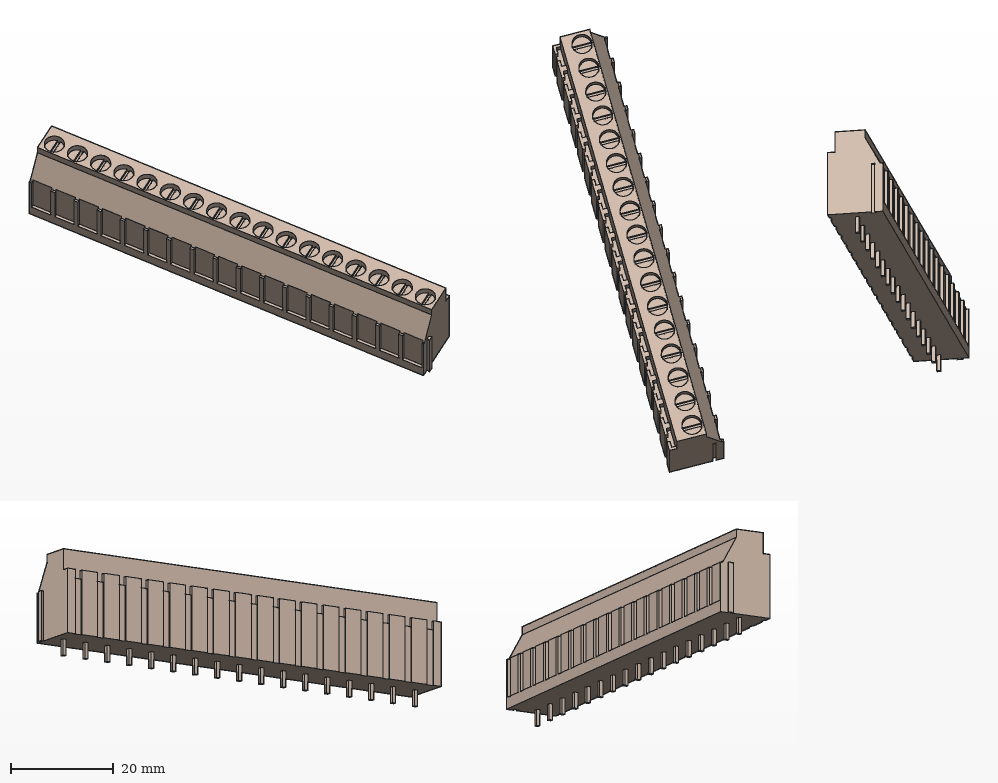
import cadquery as cq

pole_count = 17
length = 87.0
tongue_depth = 0.6
body_length = length - tongue_depth
pitch = body_length / pole_count
pole_centers = [(index + 0.5) * pitch for index in range(pole_count)]

depth = 11.0
height = 17.05
ledge_height = 12.9
ledge_depth = 1.5
head_front = 7.5
slope_top = 15.4
front_height = 10.0
lip_depth = 0.4

panel_width = 4.2
panel_offset = 0.1
panel_bottom = 2.35
panel_depth = 0.6

screw_y = -5.2
screw_diameter = 3.9
screw_recess = 1.3
screw_slot_width = 0.6
screw_slot_depth = 0.5

pocket_width = 4.0
pocket_depth = 1.7
pocket_back_wall = 0.6
mouth_width = 1.5
groove_depth = 0.3

pin_y = -5.5
pin_width = 0.74
pin_length = 3.2

dovetail_y = -9.05
dovetail_neck = 0.6
dovetail_tip = 1.1


def box(x_min, x_max, y_min, y_max, z_min, z_max):
    """Axis-aligned block between the given limits."""
    size = (x_max - x_min, y_max - y_min, z_max - z_min)
    return cq.Workplane("XY").box(*size, centered=False).translate((x_min, y_min, z_min))


def make_housing():
    """Stepped and sloped side profile swept along the row of poles."""
    profile = [
        (0, 0),
        (0, ledge_height),
        (-ledge_depth, ledge_height),
        (-ledge_depth, height),
        (-head_front, height),
        (-head_front, slope_top),
        (lip_depth - depth, front_height),
        (-depth, front_height),
        (-depth, 0),
    ]
    return cq.Workplane("YZ").polyline(profile).close().extrude(body_length)


def make_panel_recess(x):
    """Shallow front recess, slightly off the pole center, that runs up into the slope."""
    half = panel_width / 2
    middle = x + panel_offset
    return box(middle - half, middle + half, -depth, panel_depth - depth, panel_bottom, height)


def make_screw_recess(x):
    """Round well with a screwdriver slot across its floor."""
    bottom = height - screw_recess - screw_slot_depth
    radius = screw_diameter / 2
    half_slot = screw_slot_width / 2
    well = cq.Workplane("XY", origin=(x, screw_y, bottom)).circle(radius).extrude(height - bottom)
    for side in (-1, 1):
        inner = x + side * half_slot
        outer = x + side * screw_diameter
        head_half = box(
            min(inner, outer),
            max(inner, outer),
            screw_y - screw_diameter,
            screw_y + screw_diameter,
            bottom,
            bottom + screw_slot_depth,
        )
        well = well.cut(head_half)
    return well


def make_ledge_opening(x):
    """T-shaped pocket in the ledge, with a shallow groove down the back face."""
    half_pocket = pocket_width / 2
    half_mouth = mouth_width / 2
    floor = ledge_height - pocket_depth
    pocket = box(x - half_pocket, x + half_pocket, -ledge_depth, -pocket_back_wall, floor, ledge_height)
    mouth = box(x - half_mouth, x + half_mouth, -pocket_back_wall, 0, floor, ledge_height)
    groove = box(x - half_mouth, x + half_mouth, -groove_depth, 0, 0, ledge_height)
    return pocket.union(mouth).union(groove)


def make_pin(x):
    """Square solder pin below the underside."""
    half = pin_width / 2
    return box(x - half, x + half, pin_y - half, pin_y + half, -pin_length, 0)


def make_dovetail(x):
    """Upright dovetail with its neck at x, widening toward +X."""
    outline = [
        (x, dovetail_y - dovetail_neck / 2),
        (x + tongue_depth, dovetail_y - dovetail_tip / 2),
        (x + tongue_depth, dovetail_y + dovetail_tip / 2),
        (x, dovetail_y + dovetail_neck / 2),
    ]
    return cq.Workplane("XY").polyline(outline).close().extrude(front_height)


def combine(make_feature):
    """One copy of a feature at every pole, gathered into a single compound."""
    return cq.Compound.makeCompound([make_feature(x).val() for x in pole_centers])


result = (
    make_housing()
    .cut(make_dovetail(0))
    .cut(combine(make_panel_recess))
    .cut(combine(make_screw_recess))
    .cut(combine(make_ledge_opening))
    .union(make_dovetail(body_length))
    .union(combine(make_pin))
)